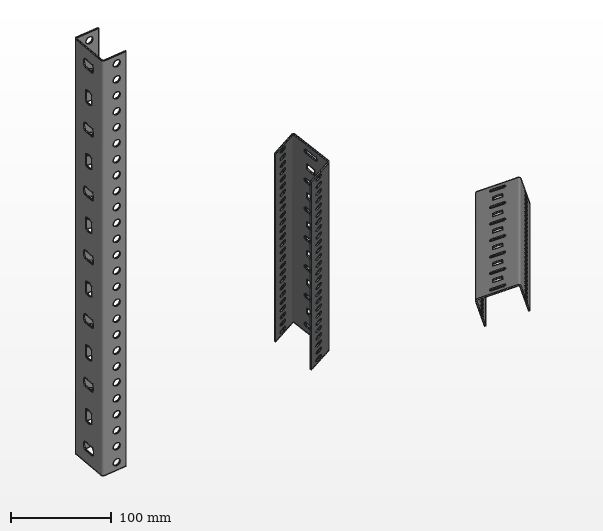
import cadquery as cq
import math

WIDTH = 48.0
DEPTH = 29.0
LENGTH = 520.0
THICKNESS = 1.5
INNER_BEND_RADIUS = 1.0
OUTER_BEND_RADIUS = INNER_BEND_RADIUS + THICKNESS

FLANGE_HOLE_DIAMETER = 8.5
FLANGE_HOLE_PITCH = 20.0
FLANGE_HOLE_END_DISTANCE = FLANGE_HOLE_PITCH / 2
FLANGE_HOLE_COUNT = round(LENGTH / FLANGE_HOLE_PITCH)
FLANGE_HOLE_Y = 17.5

OPENING_LENGTH = 17.0
OPENING_WIDTH = 10.5
OPENING_PITCH = 40.0
OPENING_END_DISTANCE = OPENING_PITCH / 2
OPENING_COUNT = round(LENGTH / OPENING_PITCH)


def make_channel():
    """Bent sheet channel with concentric rounded bends."""
    inner_width = WIDTH - 2 * THICKNESS
    outer = (
        cq.Workplane("XY")
        .rect(WIDTH, DEPTH)
        .extrude(LENGTH)
        .translate((0, DEPTH / 2, 0))
        .edges("|Z and <Y")
        .fillet(OUTER_BEND_RADIUS)
    )
    inner = (
        cq.Workplane("XY")
        .rect(inner_width, DEPTH)
        .extrude(LENGTH)
        .translate((0, DEPTH / 2 + THICKNESS, 0))
        .edges("|Z and <Y")
        .fillet(INNER_BEND_RADIUS)
    )
    return outer.cut(inner)


def make_flange_holes():
    """One row of cylinders along Z, each crossing both flanges."""
    centers = [
        (FLANGE_HOLE_Y, FLANGE_HOLE_END_DISTANCE + i * FLANGE_HOLE_PITCH)
        for i in range(FLANGE_HOLE_COUNT)
    ]
    return (
        cq.Workplane("YZ")
        .pushPoints(centers)
        .circle(FLANGE_HOLE_DIAMETER / 2)
        .extrude(WIDTH / 2, both=True)
    )


def make_web_opening():
    """Cutter for one opening, lying along X and centered on the origin."""
    half_length = OPENING_LENGTH / 2
    half_width = OPENING_WIDTH / 2
    half_flat = math.sqrt(half_length**2 - half_width**2)
    return (
        cq.Workplane("XZ")
        .moveTo(-half_flat, -half_width)
        .lineTo(half_flat, -half_width)
        .threePointArc((half_length, 0), (half_flat, half_width))
        .lineTo(-half_flat, half_width)
        .threePointArc((-half_length, 0), (-half_flat, -half_width))
        .close()
        .extrude(THICKNESS, both=True)
    )


def cut_web_openings(body):
    """Cut the openings along the web, lying and upright by turns."""
    lying = make_web_opening()
    upright = lying.rotate((0, 0, 0), (0, 1, 0), 90)
    for i in range(OPENING_COUNT):
        cutter = lying if i % 2 == 0 else upright
        height = OPENING_END_DISTANCE + i * OPENING_PITCH
        body = body.cut(cutter.translate((0, 0, height)))
    return body


channel = make_channel().cut(make_flange_holes())
result = cut_web_openings(channel)